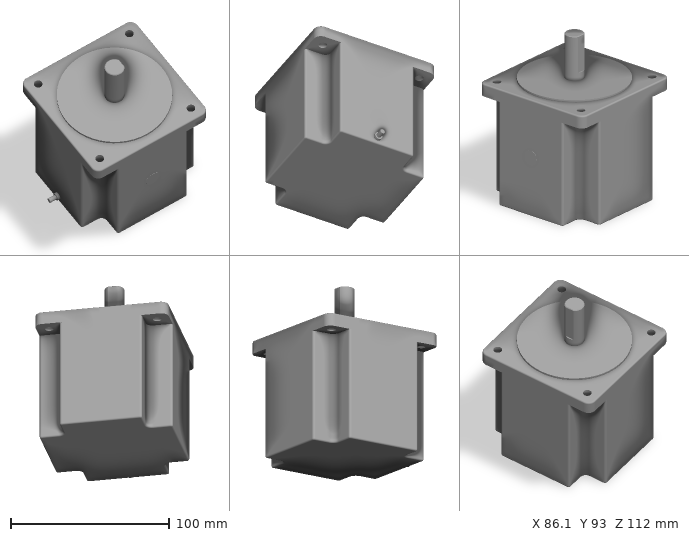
import cadquery as cq

total_height = 112.0
boss_top = 81.4
flange_top = 80.0
flange_bottom = 71.5

side = 86.0
half_side = side / 2
flange_corner_radius = 5.0
rim_radius = 1.0
mount_hole_spacing = 69.5
mount_hole_diameter = 5.5

notch_depth = 16.5
notch_inner_radius = 4.0
notch_outer_radius = 1.5

boss_diameter = 73.0
shaft_diameter = 12.7
shaft_flat_depth = 0.8
shaft_flat_bottom = 87.0
shaft_chamfer = 0.5

cable_height = 4.9
collar_diameter = 5.2
collar_length = 1.9
cable_diameter = 3.1
cable_reach = 7.0

badge_diameter = 10.3
badge_thickness = 0.1
badge_height = flange_top / 2


def make_body():
    """Cross-shaped housing with rounded vertical edges and a rounded bottom rim."""
    notch_centers = [(x, y) for x in (-half_side, half_side) for y in (-half_side, half_side)]
    notches = (
        cq.Workplane("XY")
        .pushPoints(notch_centers)
        .rect(2 * notch_depth, 2 * notch_depth)
        .extrude(flange_bottom)
        .edges("|Z")
        .fillet(notch_inner_radius)
    )
    return (
        cq.Workplane("XY")
        .rect(side, side)
        .extrude(flange_bottom)
        .cut(notches)
        .edges("(|Z) and (<X or >X or <Y or >Y)")
        .fillet(notch_outer_radius)
        .faces("<Z")
        .edges()
        .fillet(rim_radius)
    )


def make_flange():
    """Square mounting flange with four through holes near its corners."""
    return (
        cq.Workplane("XY", origin=(0, 0, flange_bottom))
        .rect(side, side)
        .extrude(flange_top - flange_bottom)
        .edges("|Z")
        .fillet(flange_corner_radius)
        .faces(">Z")
        .edges()
        .fillet(rim_radius)
        .faces(">Z")
        .workplane()
        .rect(mount_hole_spacing, mount_hole_spacing, forConstruction=True)
        .vertices()
        .hole(mount_hole_diameter)
    )


def make_boss():
    """Low round pilot on top of the flange."""
    return (
        cq.Workplane("XY", origin=(0, 0, flange_top))
        .circle(boss_diameter / 2)
        .extrude(boss_top - flange_top)
    )


def make_shaft():
    """Output shaft with a flat on its +Y side and a chamfered tip."""
    radius = shaft_diameter / 2
    flat_cut = cq.Workplane("XY", origin=(0, radius - shaft_flat_depth, shaft_flat_bottom)).box(
        shaft_diameter, shaft_diameter, total_height, centered=(True, False, False)
    )
    return (
        cq.Workplane("XY", origin=(0, 0, boss_top))
        .circle(radius)
        .extrude(total_height - boss_top)
        .cut(flat_cut)
        .faces(">Z")
        .chamfer(shaft_chamfer)
    )


def make_side_cylinder(diameter, length):
    """Cylinder standing out from the -Y face at the cable height."""
    return (
        cq.Workplane("XZ", origin=(0, -half_side, cable_height))
        .circle(diameter / 2)
        .extrude(length)
    )


def make_badge():
    """Thin disc on the +X face, halfway up the housing."""
    return (
        cq.Workplane("YZ", origin=(half_side, 0, badge_height))
        .circle(badge_diameter / 2)
        .extrude(badge_thickness)
    )


result = (
    make_body()
    .union(make_flange())
    .union(make_boss())
    .union(make_shaft())
    .union(make_side_cylinder(collar_diameter, collar_length))
    .union(make_side_cylinder(cable_diameter, cable_reach))
    .union(make_badge())
    .clean()
)